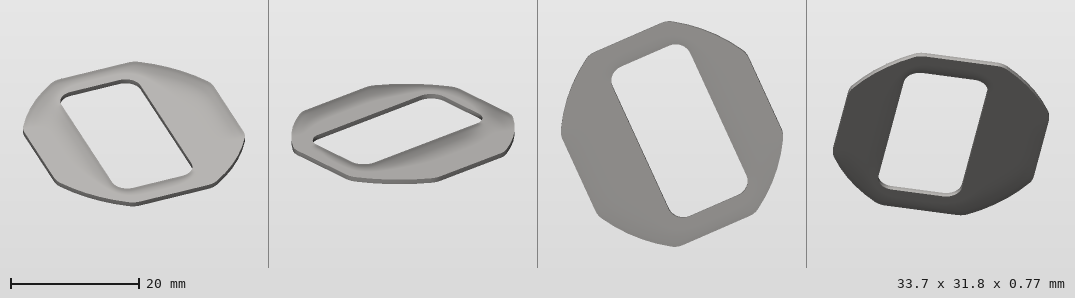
import cadquery as cq
import math

length = 33.68
width = 31.8
thickness = 0.77

side_half_length = 6.6
end_half_length = 7.05
bow_radius = 24.92
blend_radius = 3.13

window_length = 26.35
window_width = 13.27
window_offset = -1.28
window_corner_radius = 2.53


def bow_midpoint(start, end):
    """Middle of an outward-bulging arc between two outline points."""
    mid_x = (start[0] + end[0]) / 2
    mid_y = (start[1] + end[1]) / 2
    chord_x = end[0] - start[0]
    chord_y = end[1] - start[1]
    chord = math.hypot(chord_x, chord_y)
    rise = bow_radius - math.sqrt(bow_radius**2 - (chord / 2) ** 2)
    return (mid_x + rise * chord_y / chord, mid_y - rise * chord_x / chord)


def make_plate():
    """Plate with four straight sides joined by bowed corners."""
    half_x = length / 2
    half_y = width / 2
    sides = [
        ((half_x, -side_half_length), (half_x, side_half_length)),
        ((end_half_length, half_y), (-end_half_length, half_y)),
        ((-half_x, side_half_length), (-half_x, -side_half_length)),
        ((-end_half_length, -half_y), (end_half_length, -half_y)),
    ]
    outline = cq.Workplane("XY").moveTo(*sides[0][0])
    for index, (_, side_end) in enumerate(sides):
        next_start = sides[(index + 1) % len(sides)][0]
        outline = outline.lineTo(*side_end)
        outline = outline.threePointArc(bow_midpoint(side_end, next_start), next_start)
    return outline.close().extrude(thickness).edges("|Z").fillet(blend_radius)


def make_window():
    """Rounded rectangular cutter passing through the plate."""
    return (
        cq.Workplane("XY")
        .center(0, window_offset)
        .rect(window_length, window_width)
        .extrude(thickness)
        .edges("|Z")
        .fillet(window_corner_radius)
    )


result = make_plate().cut(make_window())